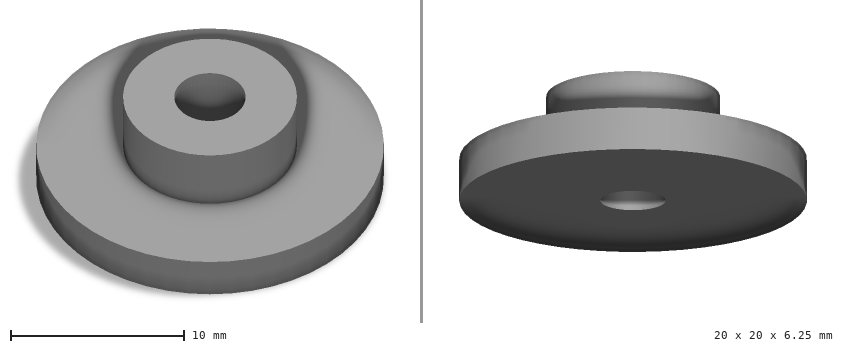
import cadquery as cq

flange_diameter = 20.0
boss_diameter = flange_diameter / 2
total_height = 6.25
flange_thickness = 2.5

boss_bore_diameter = 4.1
flange_bore_diameter = 3.75
boss_height = total_height - flange_thickness

flange = cq.Workplane("XY").circle(flange_diameter / 2).extrude(flange_thickness)

body = flange.faces(">Z").workplane().circle(boss_diameter / 2).extrude(boss_height)

result = body.faces(">Z").workplane().cboreHole(flange_bore_diameter, boss_bore_diameter, boss_height)